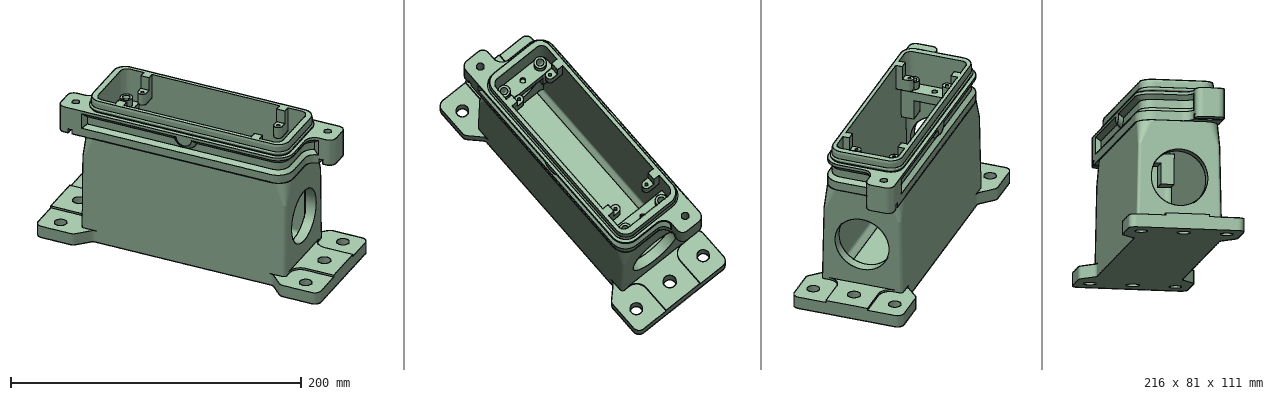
import cadquery as cq
import math

LENGTH = 216.0
HEIGHT = 111.0

FOOT_WIDTH = 81.0
FOOT_HEIGHT = 9.0
FOOT_INNER_X = 79.0
FOOT_CORNER_R = 5.0
FOOT_HOLE_X = 93.5
FOOT_HOLE_Y = 30.0
FOOT_HOLE_R = 4.3
PAD_TOP = 10.5
PAD_HALF_WIDTH = 15.3
PAD_FLARE_R = 8.6
PAD_HOLE_R = 4.5

BODY_HALF_X = 78.0
BODY_BOTTOM_HALF_Y = 30.0
BODY_TOP_HALF_Y = 28.3
BODY_CORNER_R = 2.2
BODY_TOP_CORNER_R = 9.7
CORNER_START_Z = 65.0

COLLAR_BOTTOM = 81.9
COLLAR_TOP = 102.2
COLLAR_HALF_X = 78.2
COLLAR_HALF_Y = 29.0
COLLAR_CORNER_R = 12.0
EAR_END_X = 96.1
EAR_SIDE_Y = 8.6
EAR_CORNER_R = 5.0
EAR_ROOT_R = 7.3
EAR_HOLE_X = 86.8
EAR_HOLE_Y = 19.5
EAR_HOLE_R = 2.5
EAR_SLOT_WIDTH = 2.8
EAR_SLOT_HEIGHT = 3.2

GROOVE_BOTTOM = 88.3
GROOVE_FLOOR_BOTTOM = 91.0
GROOVE_FLOOR_TOP = 96.8
GROOVE_TOP = 100.0
GROOVE_DEPTH = 3.0
GROOVE_START_X = 78.0
GROOVE_END_X = 84.9
STOP_FACE_R = 5.8
STOP_ROOT_R = 9.0

RIM_HALF_X = 75.4
RIM_HALF_Y = 26.0
RIM_CORNER_R = 9.0
RIM_CHAMFER_Z = 2.0
RIM_CHAMFER_SIDE = 0.5
BEAD_OVERHANG = 1.0
BEAD_BOTTOM = 102.8
BEAD_TOP = 105.5

CAVITY_HALF_X = 70.5
CAVITY_HALF_Y = 22.7
CAVITY_CORNER_R = 5.0
CAVITY_FLOOR = 9.7
WALL_FOOT_HALF_Y = 21.8
FLOOR_HALF_Y = 17.7
FLOOR_BEVEL = 3.0
FLOOR_FILLET_R = (WALL_FOOT_HALF_Y - FLOOR_HALF_Y - FLOOR_BEVEL) / (1 - math.cos(math.pi / 4))
CABLE_HOLE_R = 19.9
CABLE_HOLE_Z = 42.1

WALL_OVERLAP = 2.2
LEDGE_INNER_X = 58.3
LEDGE_TOP = 86.2
LEDGE_THICKNESS = 6.7
POST_INNER_Y = 13.0
POST_BOTTOM = 64.8
SCREW_X = 65.2
SCREW_Y = 16.2
SCREW_BOSS_R = 4.3
SCREW_BOSS_TOP = 92.0
SCREW_HOLE_R = 2.5
SCREW_HOLE_DEPTH = 5.8
LEDGE_HOLE_X = 64.4
LEDGE_HOLE_R = 2.0
LEDGE_HOLE_DEPTH = 3.2
RIB_X = 51.8
RIB_WIDTH = 6.3
RIB_INNER_Y = 18.0
RIB_BOTTOM = 92.2
PIN_BOSS_Y = 13.8
PIN_BOSS_TOP = 100.9
PIN_HOLE_R = 1.0

SIGNS = (-1, 1)


def block(x0, x1, y0, y1, z0, z1):
    return cq.Workplane("XY").box(x1 - x0, y1 - y0, z1 - z0, centered=False).translate((x0, y0, z0))


def post(x, y, radius, z0, z1):
    return cq.Workplane("XY").workplane(offset=z0).center(x, y).circle(radius).extrude(z1 - z0)


def half_turn(shape):
    return shape.rotate((0, 0, 0), (0, 0, 1), 180)


def rounded_prism(half_x, half_y, radius, z0, z1):
    return block(-half_x, half_x, -half_y, half_y, z0, z1).edges("|Z").fillet(radius)


def body_half_y(z):
    return BODY_BOTTOM_HALF_Y + (BODY_TOP_HALF_Y - BODY_BOTTOM_HALF_Y) * z / COLLAR_BOTTOM


def body_section(z, radius):
    """Rounded outline of the body at height z."""
    prism = rounded_prism(BODY_HALF_X, body_half_y(z), radius, z, COLLAR_TOP)
    return prism.faces("<Z").wires().val()


def make_body():
    top_y = body_half_y(CORNER_START_Z)
    lower = (
        cq.Workplane("YZ").workplane(offset=-BODY_HALF_X)
        .moveTo(-BODY_BOTTOM_HALF_Y, 0)
        .lineTo(BODY_BOTTOM_HALF_Y, 0)
        .lineTo(top_y, CORNER_START_Z)
        .lineTo(-top_y, CORNER_START_Z)
        .close()
        .extrude(2 * BODY_HALF_X)
    )
    lower = lower.faces("<X or >X").edges("not |Y").fillet(BODY_CORNER_R)
    start = body_section(CORNER_START_Z, BODY_CORNER_R)
    end = body_section(COLLAR_BOTTOM, BODY_TOP_CORNER_R)
    return lower.union(cq.Workplane(cq.Solid.makeLoft([start, end], True)))


def make_foot():
    """Foot at the -X end."""
    end_x = -LENGTH / 2
    half_y = FOOT_WIDTH / 2
    neck_y = body_half_y(FOOT_HEIGHT)
    neck_x = -FOOT_INNER_X + half_y - neck_y
    inside_x = neck_x + FOOT_CORNER_R
    outline = [
        (end_x, -half_y), (-FOOT_INNER_X, -half_y), (neck_x, -neck_y), (inside_x, -neck_y),
        (inside_x, neck_y), (neck_x, neck_y), (-FOOT_INNER_X, half_y), (end_x, half_y),
    ]
    foot = cq.Workplane("XY").polyline(outline).close().extrude(FOOT_HEIGHT)
    foot = foot.edges("|Z").edges("not >X").fillet(FOOT_CORNER_R)

    flare_x = -BODY_HALF_X - PAD_FLARE_R
    flare_y = PAD_HALF_WIDTH + PAD_FLARE_R
    pad = block(end_x, -BODY_HALF_X, -flare_y, flare_y, FOOT_HEIGHT, PAD_TOP)
    for side in SIGNS:
        y0, y1 = sorted((side * PAD_HALF_WIDTH, side * flare_y))
        pad = pad.cut(block(end_x, flare_x, y0, y1, FOOT_HEIGHT, PAD_TOP))
        pad = pad.cut(post(flare_x, side * flare_y, PAD_FLARE_R, FOOT_HEIGHT, PAD_TOP))
    foot = foot.union(pad)

    for y, radius in ((-FOOT_HOLE_Y, FOOT_HOLE_R), (0, PAD_HOLE_R), (FOOT_HOLE_Y, FOOT_HOLE_R)):
        foot = foot.cut(post(-FOOT_HOLE_X, y, radius, 0, PAD_TOP))
    return foot


def collar_outline(inset, z):
    """Collar outline with an ear at (-X, -Y) and at (+X, +Y), drawn inset from its outer edge."""
    half_x = COLLAR_HALF_X - inset
    half_y = COLLAR_HALF_Y - inset
    ear_x = EAR_END_X - inset
    ear_y = EAR_SIDE_Y + inset
    root_r = EAR_ROOT_R + inset
    ear_r = EAR_CORNER_R - inset
    corner_r = COLLAR_CORNER_R - inset
    slant = math.sqrt(0.5)

    def corner(path, start, center, radius, middle_x, middle_y, end):
        middle = (center[0] + middle_x * radius * slant, center[1] + middle_y * radius * slant)
        return path.lineTo(*start).threePointArc(middle, end)

    path = cq.Workplane("XY").workplane(offset=z).moveTo(-ear_x + ear_r, -half_y)
    for s in (1, -1):
        center = (s * (half_x - corner_r), -s * (half_y - corner_r))
        path = corner(path, (center[0], -s * half_y), center, corner_r, s, -s, (s * half_x, center[1]))
        center = (s * (half_x + root_r), s * (ear_y - root_r))
        path = corner(path, (s * half_x, center[1]), center, root_r, -s, s, (center[0], s * ear_y))
        center = (s * (ear_x - ear_r), s * (ear_y + ear_r))
        path = corner(path, (center[0], s * ear_y), center, ear_r, s, -s, (s * ear_x, center[1]))
        center = (s * (ear_x - ear_r), s * (half_y - ear_r))
        path = corner(path, (s * ear_x, center[1]), center, ear_r, s, s, (center[0], s * half_y))
    return path.close()


def ruled_loft(inset0, z0, inset1, z1):
    wires = [collar_outline(inset, z).val() for inset, z in ((inset0, z0), (inset1, z1))]
    return cq.Workplane(cq.Solid.makeLoft(wires, True))


def make_groove():
    """Groove along the -Y side and round the +X end; both ends run out at a slant."""
    core = ruled_loft(0, GROOVE_BOTTOM, GROOVE_DEPTH, GROOVE_FLOOR_BOTTOM)
    straight = collar_outline(GROOVE_DEPTH, GROOVE_FLOOR_BOTTOM)
    core = core.union(straight.extrude(GROOVE_FLOOR_TOP - GROOVE_FLOOR_BOTTOM))
    core = core.union(ruled_loft(GROOVE_DEPTH, GROOVE_FLOOR_TOP, 0, GROOVE_TOP))
    reach = 2 * GROOVE_DEPTH
    region = [
        (-GROOVE_START_X + reach, -COLLAR_HALF_Y + reach),
        (-GROOVE_START_X - reach, -COLLAR_HALF_Y - reach),
        (GROOVE_END_X, -COLLAR_HALF_Y - reach),
        (GROOVE_END_X, EAR_SIDE_Y),
        (GROOVE_END_X - reach, EAR_SIDE_Y + reach / 2),
    ]
    ring = cq.Workplane("XY").workplane(offset=GROOVE_BOTTOM).polyline(region).close()
    ring = ring.extrude(GROOVE_TOP - GROOVE_BOTTOM).cut(core)
    stop = cq.Solid.makeCone(
        STOP_ROOT_R, STOP_FACE_R, GROOVE_DEPTH,
        cq.Vector(0, GROOVE_DEPTH - COLLAR_HALF_Y, GROOVE_TOP), cq.Vector(0, -1, 0),
    )
    return ring.cut(cq.Workplane(stop))


def make_collar():
    collar = collar_outline(0, COLLAR_BOTTOM).extrude(COLLAR_TOP - COLLAR_BOTTOM)
    groove = make_groove()
    collar = collar.cut(groove).cut(half_turn(groove))
    slot_x0 = EAR_HOLE_X - EAR_SLOT_WIDTH / 2
    slot = block(slot_x0, slot_x0 + EAR_SLOT_WIDTH, EAR_SIDE_Y, COLLAR_HALF_Y,
                 COLLAR_BOTTOM, COLLAR_BOTTOM + EAR_SLOT_HEIGHT)
    opening = slot.union(post(EAR_HOLE_X, EAR_HOLE_Y, EAR_HOLE_R, COLLAR_BOTTOM, COLLAR_TOP))
    return collar.cut(opening).cut(half_turn(opening))


def make_rim():
    rim = rounded_prism(RIM_HALF_X, RIM_HALF_Y, RIM_CORNER_R, COLLAR_TOP, HEIGHT)
    rim = rim.faces(">Z").chamfer(RIM_CHAMFER_Z, RIM_CHAMFER_SIDE)
    bead = rounded_prism(RIM_HALF_X + BEAD_OVERHANG, RIM_HALF_Y + BEAD_OVERHANG,
                         RIM_CORNER_R + BEAD_OVERHANG, BEAD_BOTTOM, BEAD_TOP)
    bead = bead.faces("<Z or >Z").edges().fillet(BEAD_OVERHANG)
    return rim.union(bead)


def make_cavity():
    """Open from the top; the long walls meet the floor through a fillet and a 45 degree bevel."""
    bevel_y = FLOOR_HALF_Y + FLOOR_BEVEL
    bevel_z = CAVITY_FLOOR + FLOOR_BEVEL
    wall_z = bevel_z + FLOOR_FILLET_R * math.sin(math.pi / 4)
    section = (
        cq.Workplane("YZ").workplane(offset=-CAVITY_HALF_X)
        .moveTo(-FLOOR_HALF_Y, CAVITY_FLOOR)
        .lineTo(FLOOR_HALF_Y, CAVITY_FLOOR)
        .lineTo(bevel_y, bevel_z)
        .tangentArcPoint((WALL_FOOT_HALF_Y, wall_z), relative=False)
        .lineTo(CAVITY_HALF_Y, HEIGHT)
        .lineTo(-CAVITY_HALF_Y, HEIGHT)
        .lineTo(-WALL_FOOT_HALF_Y, wall_z)
    )
    section = section.tangentArcPoint((-bevel_y, bevel_z), relative=False).close()
    trough = section.extrude(2 * CAVITY_HALF_X)
    envelope = rounded_prism(CAVITY_HALF_X, CAVITY_HALF_Y, CAVITY_CORNER_R, CAVITY_FLOOR, HEIGHT)
    return trough.intersect(envelope)


def make_ledge():
    """Ledge at the -X end with its two corner posts, screw bosses and holes."""
    outer_x = -CAVITY_HALF_X - WALL_OVERLAP
    outer_y = CAVITY_HALF_Y + WALL_OVERLAP
    ledge = block(outer_x, -LEDGE_INNER_X, -outer_y, outer_y, LEDGE_TOP - LEDGE_THICKNESS, LEDGE_TOP)
    for side in SIGNS:
        y0, y1 = sorted((side * POST_INNER_Y, side * outer_y))
        ledge = ledge.union(block(outer_x, -LEDGE_INNER_X, y0, y1, POST_BOTTOM, LEDGE_TOP))
        ledge = ledge.union(post(-SCREW_X, side * SCREW_Y, SCREW_BOSS_R, LEDGE_TOP, SCREW_BOSS_TOP))
    for side in SIGNS:
        mouth = cq.Vector(-SCREW_X, side * SCREW_Y, SCREW_BOSS_TOP)
        dimple = cq.Solid.makeCone(SCREW_HOLE_R, 0, SCREW_HOLE_DEPTH, mouth, cq.Vector(0, 0, -1))
        ledge = ledge.cut(cq.Workplane(dimple))
    return ledge.cut(post(-LEDGE_HOLE_X, 0, LEDGE_HOLE_R, LEDGE_TOP - LEDGE_HOLE_DEPTH, LEDGE_TOP))


def make_rib():
    """Wall rib at (-X, +Y) with a lower round-ended pin boss in front of it."""
    x0 = -RIB_X - RIB_WIDTH / 2
    x1 = -RIB_X + RIB_WIDTH / 2
    outer_y = CAVITY_HALF_Y + WALL_OVERLAP
    rib = block(x0, x1, RIB_INNER_Y, outer_y, RIB_BOTTOM, HEIGHT)
    boss = block(x0, x1, PIN_BOSS_Y, outer_y, RIB_BOTTOM, PIN_BOSS_TOP)
    boss = boss.union(post(-RIB_X, PIN_BOSS_Y, RIB_WIDTH / 2, RIB_BOTTOM, PIN_BOSS_TOP))
    boss = boss.cut(post(-RIB_X, PIN_BOSS_Y, PIN_HOLE_R, RIB_BOTTOM, PIN_BOSS_TOP))
    return rib.union(boss)


def make_cable_hole():
    hole = cq.Workplane("YZ").center(0, CABLE_HOLE_Z).circle(CABLE_HOLE_R)
    return hole.extrude(BODY_HALF_X, both=True)


foot = make_foot()
ledge = make_ledge()
rib = make_rib()

housing = make_body().union(make_collar()).union(make_rim())
housing = housing.union(foot).union(half_turn(foot))
housing = housing.cut(make_cavity()).cut(make_cable_hole())
housing = housing.union(ledge).union(half_turn(ledge))
for half in (rib, rib.mirror("XZ")):
    housing = housing.union(half).union(half_turn(half))

result = housing